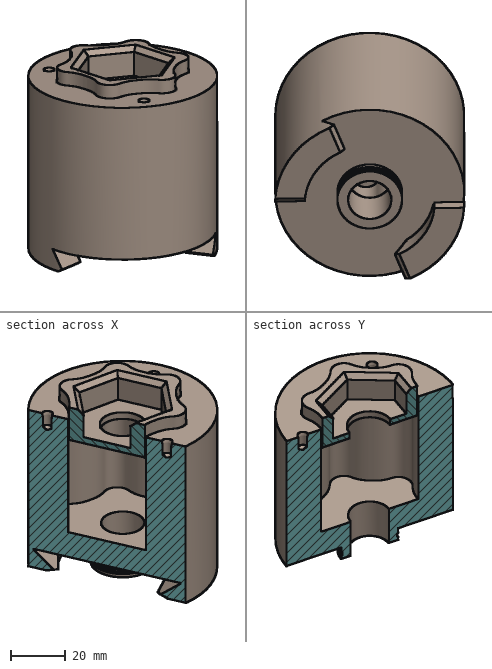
import cadquery as cq
import math

total_height = 73.0
plug_protrusion = 5.2
lug_height = 8.0
housing_top = total_height - plug_protrusion

housing_diameter = 70.0
pocket_floor_thickness = 10.95
pocket_floor = lug_height + pocket_floor_thickness

lug_root_half_width = 15.3
lug_tip_half_width = 19.5
lug_foot_half_width = 17.95
lug_tip_height = 1.2
lug_flank_angle = 35.0
lug_inner_diameter = 48.0

boss_diameter = 24.0
boss_length = 5.5
boss_bore_diameter = 16.0
groove_diameter = 23.0
groove_depth = (boss_diameter - groove_diameter) / 2
groove_start = 2.05
groove_width = 2.0

top_hole_count = 3
top_hole_circle_radius = 28.0
top_hole_mouth_diameter = 4.1
top_hole_diameter = 3.35
top_hole_taper_depth = 1.45
top_hole_depth = 5.85
drill_point_angle = 118.0

lobe_count = 6
lobe_centre_radius = 20.15
lobe_radius = 5.0
valley_radius = 13.2
pocket_clearance = 0.3
half_pitch = math.pi / lobe_count

socket_across_flats = 30.5
socket_chamfer = 2.05
socket_mouth_across_flats = socket_across_flats + 2 * socket_chamfer
socket_depth = 11.4
plug_web_thickness = 2.85
plug_bore_diameter = 17.0
plug_height = socket_depth + plug_web_thickness


def polar(radius, angle):
    return (radius * math.cos(angle), radius * math.sin(angle))


def hexagon(workplane, across_flats):
    """Hexagon with two corners on the Y axis."""
    corner_radius = across_flats / math.sqrt(3)
    corners = [polar(corner_radius, math.pi / 2 + i * math.pi / 3) for i in range(6)]
    return workplane.polyline(corners).close()


def star_prism(bottom, top, clearance=0):
    """Star of round lobes joined by hollow arcs, each with a short flat at its deepest place.

    The clearance moves the whole outline outward.
    """
    lobe_arc = lobe_radius + clearance
    valley_arc = valley_radius - clearance

    turn = half_pitch
    meet_side = (lobe_centre_radius - lobe_arc) * math.sin(turn)
    meet_out = (lobe_centre_radius + lobe_arc) * math.cos(turn)
    flat_side = meet_side - valley_arc * math.sin(turn)
    flat_out = meet_out - valley_arc * (1 - math.cos(turn))
    middle_side = flat_side + valley_arc * math.sin(turn / 2)
    middle_out = flat_out + valley_arc * (1 - math.cos(turn / 2))

    def in_valley(side, out, angle):
        return (
            out * math.cos(angle) - side * math.sin(angle),
            out * math.sin(angle) + side * math.cos(angle),
        )

    outline = cq.Workplane("XY").workplane(offset=bottom)
    outline = outline.moveTo(*in_valley(-meet_side, meet_out, 0))
    for i in range(lobe_count):
        valley = 2 * half_pitch * i
        lobe = valley + half_pitch
        next_valley = lobe + half_pitch
        outline = (
            outline.threePointArc(
                in_valley(-middle_side, middle_out, valley),
                in_valley(-flat_side, flat_out, valley),
            )
            .lineTo(*in_valley(flat_side, flat_out, valley))
            .threePointArc(
                in_valley(middle_side, middle_out, valley),
                in_valley(meet_side, meet_out, valley),
            )
            .threePointArc(
                polar(lobe_centre_radius + lobe_arc, lobe),
                in_valley(-meet_side, meet_out, next_valley),
            )
        )
    return outline.close().extrude(top - bottom)


def lug_section(half_width, height):
    """Trapezoid across one lug at a height, with flanks that spread apart toward +Y."""
    spread = math.tan(math.radians(lug_flank_angle))
    outer_y = housing_diameter / 2
    inner_y = lug_inner_diameter / 2 * math.cos(math.radians(lug_flank_angle))
    corner_y = math.sqrt(outer_y**2 - half_width**2)
    outer_x = half_width + (outer_y - corner_y) * spread
    inner_x = half_width + (inner_y - corner_y) * spread
    return cq.Wire.makePolygon(
        [
            cq.Vector(-inner_x, inner_y, height),
            cq.Vector(-outer_x, outer_y, height),
            cq.Vector(outer_x, outer_y, height),
            cq.Vector(inner_x, inner_y, height),
        ],
        close=True,
    )


def lugs():
    """Two dovetail lugs at +Y and -Y, bounded inside and outside by cylinders."""
    root = lug_section(lug_root_half_width, lug_height)
    tip = lug_section(lug_tip_half_width, lug_tip_height)
    foot = lug_section(lug_foot_half_width, 0)
    wedge = cq.Workplane(cq.Solid.makeLoft([foot, tip], True))
    wedge = wedge.union(cq.Workplane(cq.Solid.makeLoft([tip, root], True)))
    ring = (
        cq.Workplane("XY")
        .circle(housing_diameter / 2)
        .circle(lug_inner_diameter / 2)
        .extrude(lug_height)
    )
    lug = wedge.intersect(ring)
    return lug.union(lug.rotate((0, 0, 0), (0, 0, 1), 180))


def boss():
    """Boss under the housing, with a groove that has sloping sides."""
    outer = boss_diameter / 2
    inner = groove_diameter / 2
    groove_top = lug_height - groove_start
    groove_bottom = groove_top - groove_width
    boss_bottom = lug_height - boss_length
    return (
        cq.Workplane("XZ")
        .polyline([
            (0, lug_height),
            (outer, lug_height),
            (outer, groove_top),
            (inner, groove_top - groove_depth),
            (inner, groove_bottom + groove_depth),
            (outer, groove_bottom),
            (outer, boss_bottom),
            (0, boss_bottom),
        ])
        .close()
        .revolve(360, (0, 0), (0, 1))
    )


def top_hole(angle):
    """Cutter for one drilled hole with a tapered mouth and a pointed bottom."""
    radius = top_hole_diameter / 2
    point_length = radius / math.tan(math.radians(drill_point_angle / 2))
    x, y = polar(top_hole_circle_radius, angle)
    return (
        cq.Workplane("XZ")
        .polyline([
            (0, 0),
            (top_hole_mouth_diameter / 2, 0),
            (radius, -top_hole_taper_depth),
            (radius, -top_hole_depth),
            (0, -top_hole_depth - point_length),
        ])
        .close()
        .revolve(360, (0, 0), (0, 1))
        .translate((x, y, housing_top))
    )


def make_housing():
    body = (
        cq.Workplane("XY")
        .workplane(offset=lug_height)
        .circle(housing_diameter / 2)
        .extrude(housing_top - lug_height)
        .union(lugs())
        .union(boss())
    )
    body = body.cut(star_prism(pocket_floor, housing_top, pocket_clearance))
    body = body.cut(cq.Workplane("XY").circle(boss_bore_diameter / 2).extrude(pocket_floor))
    for i in range(top_hole_count):
        body = body.cut(top_hole(2 * math.pi * i / top_hole_count))
    return body


def make_plug():
    """Star plug with a chamfered hexagon socket and a bore through its web."""
    plug_bottom = total_height - plug_height
    socket_floor = total_height - socket_depth
    chamfer_start = total_height - socket_chamfer
    socket = hexagon(
        cq.Workplane("XY").workplane(offset=socket_floor), socket_across_flats
    ).extrude(socket_depth)
    mouth = hexagon(cq.Workplane("XY").workplane(offset=chamfer_start), socket_across_flats)
    mouth = hexagon(
        mouth.workplane(offset=socket_chamfer), socket_mouth_across_flats
    ).loft(ruled=True)
    bore = (
        cq.Workplane("XY")
        .workplane(offset=plug_bottom)
        .circle(plug_bore_diameter / 2)
        .extrude(plug_web_thickness)
    )
    return star_prism(plug_bottom, total_height).cut(socket).cut(mouth).cut(bore)


housing = make_housing()
plug = make_plug()

result = cq.Compound.makeCompound([housing.val(), plug.val()])